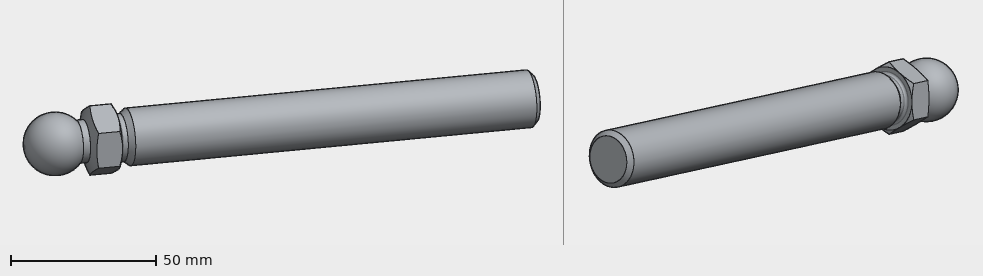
import cadquery as cq
import math

overall_length = 182.03
ball_radius = 11.0
ball_tip_flat_radius = 0.7
neck_radius = 7.5
neck_end = 10.55

hex_across_flats = 22.0
hex_back = 21.0
hex_front_angle = 20.0
hex_back_angle = 30.0

groove_radius = 8.35
groove_fillet = 1.0
groove_floor_length = 1.8

rod_radius = 10.0
rod_start_chamfer_length = 2.2
rod_end_chamfer = 1.75

hex_sides = 6
half_corner_angle = 180 / hex_sides
ball_tip = -math.sqrt(ball_radius**2 - ball_tip_flat_radius**2)
ball_neck_joint = math.sqrt(ball_radius**2 - neck_radius**2)
rod_end = ball_tip + overall_length
hex_flat_radius = hex_across_flats / 2
hex_corner_radius = hex_flat_radius / math.cos(math.radians(half_corner_angle))
groove_fillet_start = hex_back + groove_fillet
groove_end = groove_fillet_start + groove_floor_length
rod_start = groove_end + rod_start_chamfer_length


def start_profile(y_start):
    """Begin a half profile on the part axis; points are (position along Y, radius)."""
    return cq.Workplane("YZ").moveTo(y_start, 0)


def revolve_profile(profile):
    """Close a half profile and turn it about the Y axis."""
    return profile.close().revolve(360, (0, 0, 0), (1, 0, 0))


def make_ball_and_neck():
    """Ball with a small flat on its tip, carried on a cylindrical neck."""
    profile = (
        start_profile(ball_tip)
        .lineTo(ball_tip, ball_tip_flat_radius)
        .threePointArc((0, ball_radius), (ball_neck_joint, neck_radius))
        .lineTo(neck_end, neck_radius)
        .lineTo(neck_end, 0)
    )
    return revolve_profile(profile)


def make_hexagon():
    """Hexagon with corners on +Z and -Z, coned towards the ball and chamfered towards the rod."""
    prism = (
        cq.Workplane("XZ", origin=(0, hex_back, 0))
        .polygon(hex_sides, 2 * hex_corner_radius)
        .extrude(hex_back - neck_end)
        .rotate((0, 0, 0), (0, 1, 0), half_corner_angle)
    )
    front_rise = (hex_corner_radius - neck_radius) * math.tan(math.radians(hex_front_angle))
    back_rise = (hex_corner_radius - hex_flat_radius) * math.tan(math.radians(hex_back_angle))
    turned_limit = (
        start_profile(neck_end)
        .lineTo(neck_end, neck_radius)
        .lineTo(neck_end + front_rise, hex_corner_radius)
        .lineTo(hex_back - back_rise, hex_corner_radius)
        .lineTo(hex_back, hex_flat_radius)
        .lineTo(hex_back, 0)
    )
    return prism.intersect(revolve_profile(turned_limit))


def make_grooved_rod():
    """Rod with a chamfer at each end and an undercut groove next to the hexagon."""
    profile = (
        start_profile(hex_back)
        .lineTo(hex_back, groove_radius + groove_fillet)
        .radiusArc((groove_fillet_start, groove_radius), -groove_fillet)
        .lineTo(groove_end, groove_radius)
        .lineTo(rod_start, rod_radius)
        .lineTo(rod_end - rod_end_chamfer, rod_radius)
        .lineTo(rod_end, rod_radius - rod_end_chamfer)
        .lineTo(rod_end, 0)
    )
    return revolve_profile(profile)


result = make_ball_and_neck().union(make_hexagon()).union(make_grooved_rod())